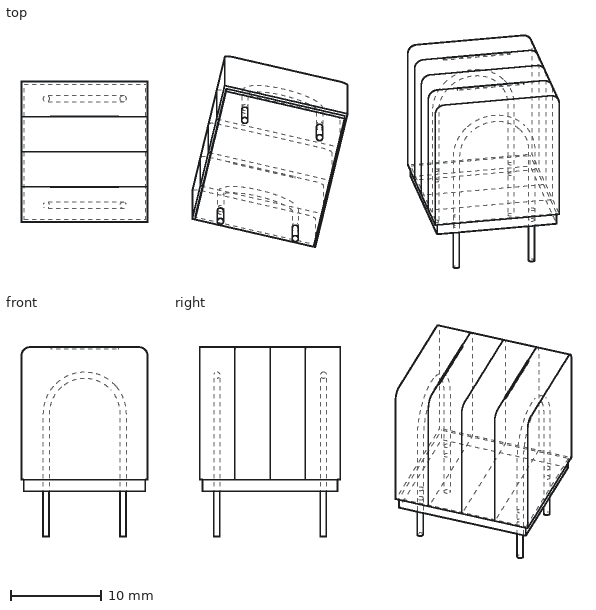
import cadquery as cq

block_width = 14.0
block_length = 15.6
core_height = 14.7
top_radius = 1.0
half_count = 4
half_thickness = block_length / half_count

relief_width = 7.5
relief_gap = 0.08
relief_depth = 0.2

base_width = 13.5
base_length = 15.0
base_height = 1.3

wire_diameter = 0.7
pin_length = 5.0
pin_spacing_x = 8.5
pin_spacing_y = 11.8

base_bottom = pin_length
core_bottom = base_bottom + base_height
core_top = core_bottom + core_height
arch_radius = pin_spacing_x / 2
arch_center_z = core_bottom + core_height / 2


def make_winding(y):
    """Hairpin of round wire: two straight legs joined by a half-turn inside the core."""
    path = (
        cq.Workplane("XZ", origin=(0, y, 0))
        .moveTo(-arch_radius, 0)
        .lineTo(-arch_radius, arch_center_z)
        .threePointArc((0, arch_center_z + arch_radius), (arch_radius, arch_center_z))
        .lineTo(arch_radius, 0)
    )
    return cq.Workplane("XY", origin=(-arch_radius, y, 0)).circle(wire_diameter / 2).sweep(path)


def make_base():
    """Flat rectangular plate."""
    return cq.Workplane("XY", origin=(0, 0, base_bottom)).box(
        base_width, base_length, base_height, centered=(True, True, False)
    )


def make_core_half(y):
    """Slab with both upper side edges rounded, centred on y."""
    return (
        cq.Workplane("XY", origin=(0, y, core_bottom))
        .box(block_width, half_thickness, core_height, centered=(True, True, False))
        .edges("|Y and >Z")
        .fillet(top_radius)
    )


def make_relief(y):
    """Cutter for the narrow slit on the parting plane of one pair of halves."""
    return cq.Workplane("XY", origin=(0, y, core_top - relief_depth / 2)).box(
        relief_width, relief_gap, relief_depth
    )


base = make_base()
core_halves = [
    make_core_half((index + 0.5) * half_thickness - block_length / 2) for index in range(half_count)
]
windings = []
for side in (-1, 1):
    winding = make_winding(side * pin_spacing_y / 2)
    relief = make_relief(side * half_thickness)
    base = base.cut(winding)
    core_halves = [half.cut(winding).cut(relief) for half in core_halves]
    windings.append(winding)

bodies = [base, *core_halves, *windings]
result = cq.Compound.makeCompound([body.solids().val() for body in bodies])